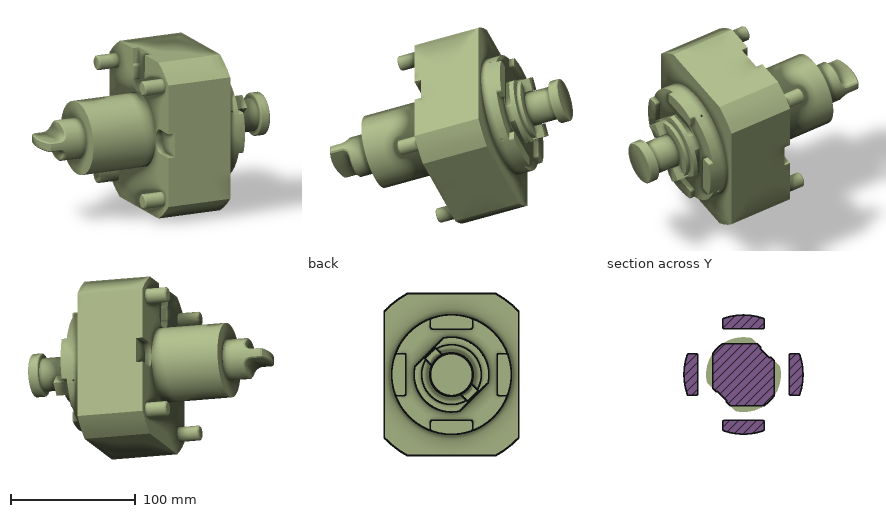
import cadquery as cq
import math

Y_AXIS = ((0, 0, 0), (0, 1, 0))

clearance = 2.0

block_width = 108.0
block_height = 130.0
block_depth = 55.0
block_corner_diameter = 148.0

slot_depth = 5.5
slot_end_radius = 8.2
slot_inner_reach = 31.0
side_slot_width = 20.0
top_slot_mouth_width = 22.3
top_slot_neck_width = 20.0
top_slot_belly_width = 20.7
top_slot_neck_z = (40.0, 50.3)
top_slot_mouth_z = 52.3
relief_diameter = 61.2

pin_diameter = 12.0
pin_length = 17.5
pin_chamfer = 1.0
pin_x = 41.9
pin_z = 47.0

sleeve_diameter = 60.0
sleeve_length = 55.3
shaft_diameter = 33.0
collar_diameter = 33.7
collar_length = 0.5
shaft_tip_y = -90.8
shoulder_y = -72.8
tongue_thickness = 8.0
tongue_root_radius = 6.0
tongue_tip_radius = 43.9
tongue_chamfer = 1.0

ring_diameter = 96.0
ring_top_y = 67.0
lug_top_y = 71.2
lug_width = 33.7
lug_inner_reach = 36.5
lug_corner_radius = 1.5
radial_hole_diameter = 2.2
radial_hole_depth = 4.0
radial_hole_y = 61.5
radial_hole_angle = 22.5

disc_diameter = 60.0
disc_top_y = 76.0
bayonet_slot_y = (67.6, 72.2)
bayonet_neck_width = 50.0
disc_flat_reach = 25.3
cap_diameter = 47.9
cap_top_y = 79.5
arbor_diameter = 27.0
knob_diameter = 35.0
knob_thickness = 8.2
knob_chamfer = 0.5
rear_end_y = 108.7

key_width = 12.2
key_inner_reach = 14.0
key_outer_reach = 24.3
key_bottom_y = 67.2
key_top_y = 86.0
key_direction = -45


def cylinder(diameter, y_start, y_end):
    """Solid cylinder on the spindle axis between two Y positions."""
    return cq.Workplane("XZ", origin=(0, y_start, 0)).circle(diameter / 2).extrude(y_start - y_end)


def box(x_range, y_range, z_range):
    """Box given by its (low, high) limits along each axis."""
    limits = (x_range, y_range, z_range)
    sizes = [high - low for low, high in limits]
    middle = tuple((low + high) / 2 for low, high in limits)
    return cq.Workplane("XY").box(*sizes).translate(middle)


def around_axis(shape, angle):
    """Turn a shape about the spindle axis."""
    return shape.rotate(*Y_AXIS, angle)


def housing():
    body = box(
        (-block_width / 2, block_width / 2),
        (0, block_depth),
        (-block_height / 2, block_height / 2),
    )
    return body.intersect(cylinder(block_corner_diameter, 0, block_depth))


def side_slot():
    """Slot in the +X side of the mounting face, rounded at its inner end."""
    slot = box(
        (slot_inner_reach, block_width / 2),
        (0, slot_depth),
        (-side_slot_width / 2, side_slot_width / 2),
    )
    return slot.edges("|Y and <X").fillet(slot_end_radius)


def top_slot():
    """Waisted slot open at the top of the mounting face."""
    mouth = top_slot_mouth_width / 2
    neck = top_slot_neck_width / 2
    belly = top_slot_belly_width / 2
    neck_low, neck_high = top_slot_neck_z
    belly_z = slot_inner_reach + slot_end_radius
    half_end = belly - slot_end_radius
    right_wall = [(mouth, block_height / 2), (mouth, top_slot_mouth_z), (neck, neck_high), (neck, neck_low)]
    left_wall = [(-x, z) for x, z in reversed(right_wall)]
    return (
        cq.Workplane("XZ")
        .polyline(right_wall)
        .lineTo(belly, belly_z)
        .radiusArc((half_end, slot_inner_reach), slot_end_radius)
        .lineTo(-half_end, slot_inner_reach)
        .radiusArc((-belly, belly_z), slot_end_radius)
        .lineTo(*left_wall[0])
        .polyline(left_wall, includeCurrent=False)
        .close()
        .extrude(-slot_depth)
    )


def mounting_pins():
    corners = [(x, z) for x in (-pin_x, pin_x) for z in (-pin_z, pin_z)]
    pins = cq.Workplane("XZ").pushPoints(corners).circle(pin_diameter / 2).extrude(pin_length)
    return pins.faces("<Y").chamfer(pin_chamfer)


def is_outer_edge(edge):
    """False for the straight X-wise lines where a root fillet meets a flat face."""
    return edge.geomType() != "LINE" or abs(edge.tangentAt(0).x) < 0.5


def tongue_shaft():
    """Shaft whose end is milled to a flat tongue with a curved tip."""
    radius = shaft_diameter / 2
    half_tongue = tongue_thickness / 2
    root_z = half_tongue + tongue_root_radius
    root_y = shoulder_y - tongue_root_radius
    shaft = cylinder(shaft_diameter, shaft_tip_y, -sleeve_length)
    waste = (
        cq.Workplane("YZ")
        .moveTo(shoulder_y, radius)
        .lineTo(shoulder_y, root_z)
        .radiusArc((root_y, half_tongue), tongue_root_radius)
        .lineTo(shaft_tip_y, half_tongue)
        .lineTo(shaft_tip_y, radius)
        .close()
        .extrude(radius, both=True)
    )
    shaft = shaft.cut(waste).cut(waste.mirror("XY"))
    tip_sagitta = tongue_tip_radius - math.sqrt(tongue_tip_radius**2 - radius**2)
    corner_y = shaft_tip_y + tip_sagitta
    tip_outline = (
        cq.Workplane("XY")
        .moveTo(-radius, -sleeve_length)
        .lineTo(-radius, corner_y)
        .threePointArc((0, shaft_tip_y), (radius, corner_y))
        .lineTo(radius, -sleeve_length)
        .close()
        .extrude(radius, both=True)
    )
    shaft = shaft.intersect(tip_outline)
    milled_end = cq.selectors.BoxSelector(
        (-shaft_diameter, shaft_tip_y - clearance, -shaft_diameter),
        (shaft_diameter, shoulder_y + tongue_chamfer, shaft_diameter),
    )
    outer_edges = shaft.edges(milled_end).filter(is_outer_edge)
    return outer_edges.chamfer(tongue_chamfer)


def lug():
    """Lug on the +X side of the ring; its outer face follows the ring."""
    bar = box(
        (lug_inner_reach, ring_diameter / 2),
        (block_depth, lug_top_y),
        (-lug_width / 2, lug_width / 2),
    )
    lug_body = bar.intersect(cylinder(ring_diameter, block_depth, lug_top_y))
    return lug_body.edges("|Y").fillet(lug_corner_radius)


def lugged_ring():
    ring = cylinder(ring_diameter, block_depth, lug_top_y)
    gaps = cylinder(ring_diameter, ring_top_y, lug_top_y)
    hole = (
        cq.Workplane("XY", origin=(0, radial_hole_y, ring_diameter / 2 - radial_hole_depth))
        .circle(radial_hole_diameter / 2)
        .extrude(radial_hole_depth + clearance)
    )
    for quarter_turn in range(4):
        turn = 90 * quarter_turn
        gaps = gaps.cut(around_axis(lug(), turn))
        ring = ring.cut(around_axis(hole, turn - radial_hole_angle))
    return ring.cut(gaps)


def key_profile():
    """Key outline square to its direction: straight sides and a round lower end."""
    half = key_width / 2
    return (
        cq.Workplane("YZ", origin=(key_inner_reach, 0, 0))
        .moveTo(key_top_y, half)
        .lineTo(key_bottom_y + half, half)
        .threePointArc((key_bottom_y, 0), (key_bottom_y + half, -half))
        .lineTo(key_top_y, -half)
        .close()
    )


def bayonet():
    """Disc with four tabs, two diagonal flats, a cap and a pair of drive keys."""
    radius = disc_diameter / 2
    half_neck = bayonet_neck_width / 2
    disc = cylinder(disc_diameter, block_depth, disc_top_y)
    tab_slot = box((half_neck, radius), bayonet_slot_y, (-radius, radius))
    for quarter_turn in range(4):
        disc = disc.cut(around_axis(tab_slot, 90 * quarter_turn))

    flat = box((disc_flat_reach, radius), (ring_top_y, disc_top_y), (-radius, radius))
    key_pocket = key_profile().extrude(radius - key_inner_reach)
    key = key_profile().extrude(key_outer_reach - key_inner_reach)
    directions = (key_direction, key_direction + 180)
    for direction in directions:
        disc = disc.cut(around_axis(flat, direction))
    disc = disc.union(cylinder(cap_diameter, disc_top_y, cap_top_y))
    for direction in directions:
        disc = disc.cut(around_axis(key_pocket, direction))
        disc = disc.union(around_axis(key, direction))
    return disc


def cutter_arbor():
    knob_start = rear_end_y - knob_thickness
    knob = cylinder(knob_diameter, knob_start, rear_end_y).edges().chamfer(knob_chamfer)
    return cylinder(arbor_diameter, cap_top_y, knob_start).union(knob)


result = housing()
result = result.cut(side_slot()).cut(side_slot().mirror("YZ")).cut(top_slot())
result = result.cut(cylinder(relief_diameter, 0, slot_depth))
result = result.union(cylinder(sleeve_diameter, -sleeve_length, slot_depth))
result = result.union(mounting_pins())
result = result.union(cylinder(collar_diameter, -sleeve_length - collar_length, -sleeve_length))
result = result.union(tongue_shaft())
result = result.union(lugged_ring())
result = result.union(bayonet())
result = result.union(cutter_arbor())